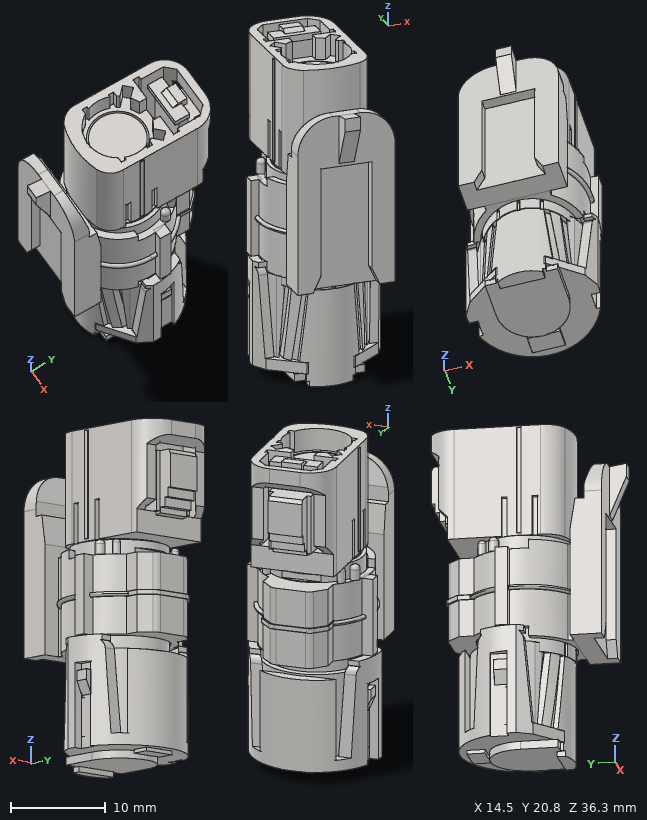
import cadquery as cq
import math

SIDES = (-1, 1)
clearance = 0.35

housing_bottom = 24.0
housing_top = 36.1
housing_half_width = 4.7
housing_back = 9.98
housing_corner = 3.0
housing_front = -5.23
front_corner_start = -2.32
front_corner_x = 3.2
front_corner_y = -4.68
front_corner_mid = (4.25, -3.85)
side_line_width = 0.47
side_line_height = 0.1
side_line_bottom = 24.25
side_line_top = 35.9
slit_width = 0.6
slit_depth = 0.55
slit_top = 28.3
slit_centers = (1.6, -1.7)

bore_radius = 3.77
bore_floor = 33.68
post_radius = 6.2 / 2
post_gap_radius = 6.65 / 2
post_gap_floor = 29.05
key_notch_width = 1.15
key_notch_reach = 5.05
bore_slot_width = 0.6
bore_slot_reach = 3.8
channel_half_width = 1.3

cavity_half_width = 3.55
cavity_front = 4.45
cavity_back = 9.05
cavity_chamfer = 1.0
cavity_floor = 26.5
cavity_slot_half_width = 3.95
cavity_slot_width = 0.73
window_back = 8.75
window_top = 33.4
rim_bottom = 34.48
foot_back = 7.73
foot_top = 26.5
foot_slope_top = 27.58
stem_half_width = 2.35
stem_front = 6.17
stem_back = 8.35
grip_half_width = 1.9
grip_top = 32.95
grip_steps = (
    (8.42, 26.27),
    (8.42, 26.9),
    (9.1, 26.9),
    (9.1, 27.87),
    (9.58, 27.87),
    (9.58, 28.85),
    (housing_back, 28.85),
    (housing_back, 32.5),
    (9.73, grip_top),
)
latch_root = 26.13
head_half_width = 2.7
head_front = 5.48
head_back = 7.3
head_bottom = 35.2
head_top = 35.93
button_half_width = 1.12
button_front = 6.17
button_back = 8.0
button_slope = 0.7
part_top = 36.3

core_radius = 5.25
core_top = 23.8
neck_radius = 4.8
neck_step_bottom = 22.15
neck_step_top = 22.97

socket_radius = 7.25
socket_bottom = 1.45
base_top = 2.72
socket_front_x = 2.75
socket_front_y = -4.5
socket_side_y = -0.18
socket_shoulder_y = -1.8
socket_shoulder_inset = 0.9
sleeve_radius = 6.05
sleeve_top = 12.0
sleeve_front_y = -4.32
panel_radius = 5.2
panel_top = 11.05
panel_bottom = 0.58
panel_back = -1.8
groove_floor_radius = 4.8
groove_limits = (
    ((2.58, 3.12), (3.37, 4.03)),
    ((4.03, 4.5), (4.6, 4.97)),
)
mark_width = 0.33
mark_depth = 0.18
mark_centers = (-2.4, 0.0, 2.4)
tip_half_width = 2.45
tip_back = -3.65
plinth_radius = 4.0
plinth_front = -4.05
stud_half_width = 1.8
stud_front = 4.2
stud_back = 6.17
stud_bottom = 1.05
back_panel_front = 5.88
back_panel_top = 11.8

arm_inner_radius = 6.25
arm_top = 13.05
arm_top_back = 4.15
arm_top_front = -0.8
arm_base_back = 4.75
arm_base_front = -1.8
arm_corner = 1.27
lip_bottom = 12.77
lip_top = 13.4
lip_front = -0.9
lip_back = 3.9
arm_slot_front = 0.85
arm_slot_back = 2.75
arm_slot_top = 10.55
nub_front = 0.87
nub_back = 2.32
nub_bottom = 6.7
nub_peak = 8.65
nub_top = 9.75
nub_inner = 5.45
nub_reach = 6.9

collar_outer_radius = 6.2
collar_inner_radius = 5.4
collar_bottom = 13.5
collar_top = 22.1
front_bottom = 12.45
front_top = 23.08
front_edge = -1.3
lump_back = 8.15
lump_half_width = 3.63
lump_chamfer = 1.52
lump_round = 1.1
bead_radius = 0.25
bead_center_radius = 6.4
bead_height = 17.8
lump_bead_step = 0.15
rib_reach = 7.08
rib_inner = 5.8
rib_front = 0.75
rib_back = 2.15
peg_top = 23.77
peg_circle_radius = 5.85
peg_flat_radius = 0.05
pegs = ((2.6, 0.55), (4.05, 0.45))

plate_half_width = 5.5
plate_front = -9.0
plate_back = -5.65
plate_top = 32.23
plate_corner = 4.0
bridge_half_width = 3.6
back_slope_start = 24.3
back_step = (-6.17, 27.5)
thin_back = -7.1
thin_slope_start = 29.1
tip_back_edge = -7.85
hook_half_width = 0.87
hook_front = -10.8
hook_bottom = 26.8
hook_lower_edge = 31.03
hook_top = 32.5
recess_depth = 1.1
recess_top = 26.45
recess_half_width = 2.9
recess_flare_start = 14.25
recess_flare_half_width = 3.77


def box(x0, x1, y0, y1, z0, z1):
    """Box between two X, two Y and two Z planes."""
    return cq.Workplane("XY").box(x1 - x0, y1 - y0, z1 - z0, centered=False).translate((x0, y0, z0))


def centered_box(half_width, y0, y1, z0, z1):
    """Box that is symmetric about the X = 0 plane."""
    return box(-half_width, half_width, y0, y1, z0, z1)


def side_box(side, x0, x1, y0, y1, z0, z1):
    """Box between the distances x0 and x1 from the X = 0 plane, on one side of it."""
    near, far = sorted((side * x0, side * x1))
    return box(near, far, y0, y1, z0, z1)


def cylinder(radius, z0, z1):
    """Upright cylinder on the mating axis."""
    return cq.Workplane("XY").workplane(offset=z0).circle(radius).extrude(z1 - z0)


def side_profile(points, half_width):
    """Prism with a (Y, Z) outline, symmetric about the X = 0 plane."""
    return cq.Workplane("YZ").polyline(points).close().extrude(half_width, both=True)


def socket_prism(radius, front_y, z0, z1):
    """Round at the sides and back, with two flats on each side towards the front."""
    side_x = math.sqrt(radius ** 2 - socket_side_y ** 2)
    shoulder_x = radius - socket_shoulder_inset
    return (
        cq.Workplane("XY").workplane(offset=z0)
        .moveTo(-socket_front_x, front_y)
        .lineTo(-shoulder_x, socket_shoulder_y)
        .lineTo(-side_x, socket_side_y)
        .threePointArc((0, radius), (side_x, socket_side_y))
        .lineTo(shoulder_x, socket_shoulder_y)
        .lineTo(socket_front_x, front_y)
        .close()
        .extrude(z1 - z0)
    )


def housing_block():
    """Outer shape of the upper housing."""
    w = housing_half_width
    mid_x, mid_y = front_corner_mid
    arc_dip = housing_corner * (1 - math.sqrt(0.5))
    block = (
        cq.Workplane("XY").workplane(offset=housing_bottom)
        .moveTo(-w, front_corner_start)
        .lineTo(-w, housing_back - housing_corner)
        .threePointArc((-w + arc_dip, housing_back - arc_dip), (-w + housing_corner, housing_back))
        .lineTo(w - housing_corner, housing_back)
        .threePointArc((w - arc_dip, housing_back - arc_dip), (w, housing_back - housing_corner))
        .lineTo(w, front_corner_start)
        .threePointArc((mid_x, mid_y), (front_corner_x, front_corner_y))
        .threePointArc((0, housing_front), (-front_corner_x, front_corner_y))
        .threePointArc((-mid_x, mid_y), (-w, front_corner_start))
        .close()
        .extrude(housing_top - housing_bottom)
    )
    beyond = housing_back + clearance
    back_cut = side_profile(
        [
            (beyond, rim_bottom),
            (housing_back, rim_bottom),
            (window_back, window_top),
            (window_back, foot_slope_top),
            (foot_back, foot_top),
            (foot_back, housing_bottom),
            (beyond, housing_bottom),
        ],
        housing_half_width,
    )
    block = block.cut(back_cut)
    for side in SIDES:
        block = block.union(side_box(
            side, w - clearance, w + side_line_height, -side_line_width / 2, side_line_width / 2,
            side_line_bottom, side_line_top))
        for y in slit_centers:
            block = block.cut(side_box(
                side, w - slit_depth, w + clearance, y - slit_width / 2, y + slit_width / 2,
                housing_bottom, slit_top))
    return block


def bore_cut():
    """Bore around the post, with its key notches and wall slots."""
    cut = cylinder(bore_radius, bore_floor, housing_top)
    cut = cut.union(cylinder(post_gap_radius, post_gap_floor, bore_floor)
                    .cut(cylinder(post_radius, post_gap_floor, bore_floor)))
    cut = cut.union(centered_box(channel_half_width, 0, cavity_front, bore_floor, housing_top))
    for angle in (45, 135):
        notch = box(0, key_notch_reach, -key_notch_width / 2, key_notch_width / 2, bore_floor, housing_top)
        cut = cut.union(notch.rotate((0, 0, 0), (0, 0, 1), angle))
    for y in slit_centers:
        cut = cut.union(centered_box(
            bore_slot_reach, y - bore_slot_width / 2, y + bore_slot_width / 2, bore_floor, housing_top))
    return cut


def latch_cavity():
    """Pocket behind the bore in which the latch stands."""
    pocket = centered_box(cavity_half_width, cavity_front, cavity_back, cavity_floor, housing_top)
    pocket = pocket.edges("|Z and >Y").chamfer(cavity_chamfer)
    slot = centered_box(
        cavity_slot_half_width, cavity_front, cavity_front + cavity_slot_width, cavity_floor, housing_top)
    return pocket.union(slot)


def latch():
    """Latch lever with stepped thumb grip, head plate and button."""
    stem = centered_box(stem_half_width, stem_front, stem_back, cavity_floor, head_top)
    grip = side_profile(
        [
            (stem_front, latch_root),
            (foot_back, latch_root),
            *grip_steps,
            (stem_front, grip_top),
        ],
        grip_half_width,
    )
    stem = stem.cut(centered_box(stem_half_width, head_back, stem_back, grip_top, head_top))
    head = centered_box(head_half_width, head_front, head_back, head_bottom, head_top)
    button = side_profile(
        [
            (button_front, head_bottom),
            (button_front, head_top),
            (button_front + button_slope, part_top),
            (button_back, part_top),
            (button_back, head_bottom),
        ],
        button_half_width,
    )
    return stem.union(grip).union(head).union(button)


def core():
    """Round core that carries the housing and passes through the clip collar."""
    body = cylinder(core_radius, panel_top, core_top)
    body = body.union(cylinder(neck_radius, core_top, housing_bottom))
    reach = core_radius + clearance
    body = body.cut(centered_box(reach, neck_radius, reach, neck_step_bottom, neck_step_top))
    for x in mark_centers:
        front_y = -math.sqrt(core_radius ** 2 - x ** 2)
        body = body.cut(box(x - mark_width / 2, x + mark_width / 2, front_y - clearance, front_y + mark_depth,
                            panel_top, front_bottom))
    return body.union(cylinder(panel_radius, socket_bottom, panel_top))


def front_grooves():
    """Slanted grooves on both sides of the front panel, wider apart at the bottom."""
    grooves = None
    for (top_in, top_out), (low_in, low_out) in groove_limits:
        for side in SIDES:
            groove = (
                cq.Workplane("XZ")
                .polyline([
                    (side * top_in, panel_top),
                    (side * top_out, panel_top),
                    (side * low_out, base_top),
                    (side * low_in, base_top),
                ])
                .close()
                .extrude(socket_radius + clearance)
            )
            grooves = groove if grooves is None else grooves.union(groove)
    return grooves.cut(cylinder(groove_floor_radius, base_top, panel_top))


def plinth():
    """Low foot under the base ring, round at the back and straight at the sides."""
    return (
        cq.Workplane("XY").workplane(offset=panel_bottom)
        .moveTo(-plinth_radius, plinth_front)
        .lineTo(-plinth_radius, 0)
        .threePointArc((0, plinth_radius), (plinth_radius, 0))
        .lineTo(plinth_radius, plinth_front)
        .close()
        .extrude(socket_bottom - panel_bottom)
    )


def socket():
    """Base ring, sleeve, back panel and feet of the lower end."""
    body = socket_prism(socket_radius, socket_front_y, socket_bottom, base_top)
    body = body.union(socket_prism(sleeve_radius, sleeve_front_y, socket_bottom, sleeve_top))
    reach = socket_radius + clearance
    back_panel = socket_prism(socket_radius, socket_front_y, socket_bottom, back_panel_top)
    body = body.union(back_panel.intersect(
        centered_box(reach, back_panel_front, reach, socket_bottom, back_panel_top)))
    body = body.union(plinth())
    body = body.union(centered_box(stud_half_width, stud_front, stud_back, stud_bottom, socket_bottom))
    for half_width, back, bottom in ((socket_front_x, panel_back, panel_bottom), (tip_half_width, tip_back, 0)):
        foot = centered_box(half_width, -panel_radius - clearance, back, bottom, socket_bottom)
        body = body.union(cylinder(panel_radius, bottom, socket_bottom).intersect(foot))
    return body


def arms():
    """Two locking arms with rounded tops, lips on top and slots open at the bottom."""
    shell = socket_prism(socket_radius, socket_front_y, socket_bottom, arm_top)
    shell = shell.cut(socket_prism(arm_inner_radius, sleeve_front_y, socket_bottom, arm_top))
    outline = side_profile(
        [
            (arm_base_back, socket_bottom),
            (arm_base_front, socket_bottom),
            (arm_top_front, arm_top),
            (arm_top_back, arm_top),
        ],
        socket_radius + clearance,
    )
    outline = outline.edges("|X and >Z").fillet(arm_corner)
    body = shell.intersect(outline)
    lip_ring = socket_prism(socket_radius, socket_front_y, lip_bottom, lip_top)
    lip_ring = lip_ring.cut(socket_prism(arm_inner_radius, sleeve_front_y, lip_bottom, lip_top))
    reach = socket_radius + clearance
    lips = lip_ring.intersect(centered_box(reach, lip_front, lip_back, lip_bottom, lip_top))
    return body.union(lips)


def arm_slots():
    """Slots through the arms."""
    slots = None
    for side in SIDES:
        slot = side_box(side, arm_inner_radius, socket_radius + clearance, arm_slot_front, arm_slot_back,
                        socket_bottom, arm_slot_top)
        slots = slot if slots is None else slots.union(slot)
    return slots


def nubs():
    """Catches with a sloped underside on the sleeve, standing in the arm slots."""
    body = None
    for side in SIDES:
        nub = (
            cq.Workplane("XZ").workplane(offset=-nub_back)
            .polyline([
                (side * nub_inner, nub_bottom),
                (side * sleeve_radius, nub_bottom),
                (side * nub_reach, nub_peak),
                (side * nub_reach, nub_top),
                (side * nub_inner, nub_top),
            ])
            .close()
            .extrude(nub_back - nub_front)
        )
        body = nub if body is None else body.union(nub)
    return body


def make_connector():
    upper = housing_block().cut(bore_cut()).cut(latch_cavity()).union(latch())
    lower = core().union(socket()).cut(front_grooves())
    lower = lower.union(arms()).cut(arm_slots()).union(nubs())
    return upper.union(lower)


def lump(step, z0, z1):
    """Block at the back of the collar, grown outwards by a step."""
    half_width = lump_half_width + step
    return (
        centered_box(half_width, 0, lump_back + step, z0, z1)
        .edges("|Z and >Y").chamfer(lump_chamfer)
        .edges("|Z and >Y").fillet(lump_round)
    )


def collar():
    """Ring around the core with back block, bead, side ribs and pegs."""
    body = cylinder(collar_outer_radius, collar_bottom, collar_top)
    front = cylinder(collar_outer_radius, front_bottom, front_top)
    reach = collar_outer_radius + clearance
    front = front.intersect(centered_box(reach, plate_back, front_edge, front_bottom, front_top))
    body = body.union(front)
    body = body.union(centered_box(bridge_half_width, plate_back, front_edge, front_bottom, front_top))
    body = body.union(lump(0, collar_bottom, collar_top))
    body = body.union(lump(lump_bead_step, bead_height - bead_radius, bead_height + bead_radius))
    bead = cq.Solid.makeTorus(bead_center_radius, bead_radius, cq.Vector(0, 0, bead_height))
    bead_zone = centered_box(socket_radius, plate_back, socket_radius, collar_bottom, collar_top)
    body = body.union(cq.Workplane(bead).intersect(bead_zone))
    for side in SIDES:
        body = body.union(side_box(
            side, rib_inner, rib_reach, rib_front, rib_back, collar_bottom, collar_top))
        for y, radius in pegs:
            x = side * math.sqrt(peg_circle_radius ** 2 - y ** 2)
            peg = (
                cq.Workplane("XY").workplane(offset=collar_top)
                .center(x, y).circle(radius).extrude(peg_top - collar_top)
                .faces(">Z").edges().fillet(radius - peg_flat_radius)
            )
            body = body.union(peg)
    return body.cut(cylinder(collar_inner_radius, front_bottom, peg_top))


def plate():
    """Mounting plate with a rounded, thinned top, a hook and a flared recess."""
    body = side_profile(
        [
            (plate_front, front_bottom),
            (plate_back, front_bottom),
            (plate_back, back_slope_start),
            back_step,
            (thin_back, back_step[1]),
            (thin_back, thin_slope_start),
            (tip_back_edge, plate_top),
            (plate_front, plate_top),
        ],
        plate_half_width,
    )
    outline = (
        centered_box(plate_half_width, plate_front, plate_back, front_bottom, plate_top)
        .edges("|Y and >Z").fillet(plate_corner)
    )
    body = body.intersect(outline)
    hook = side_profile(
        [
            (plate_front, hook_bottom),
            (hook_front, hook_lower_edge),
            (hook_front, hook_top),
            (plate_front, plate_top),
        ],
        hook_half_width,
    )
    recess = (
        cq.Workplane("XZ").workplane(offset=-plate_front - recess_depth)
        .polyline([
            (-recess_half_width, recess_top),
            (recess_half_width, recess_top),
            (recess_half_width, recess_flare_start),
            (recess_flare_half_width, front_bottom),
            (-recess_flare_half_width, front_bottom),
            (-recess_half_width, recess_flare_start),
        ])
        .close()
        .extrude(recess_depth)
    )
    return body.union(hook).cut(recess)


def make_clip():
    return collar().union(plate())


connector = make_connector()
clip = make_clip()

result = cq.Compound.makeCompound([connector.solids().val(), clip.solids().val()])